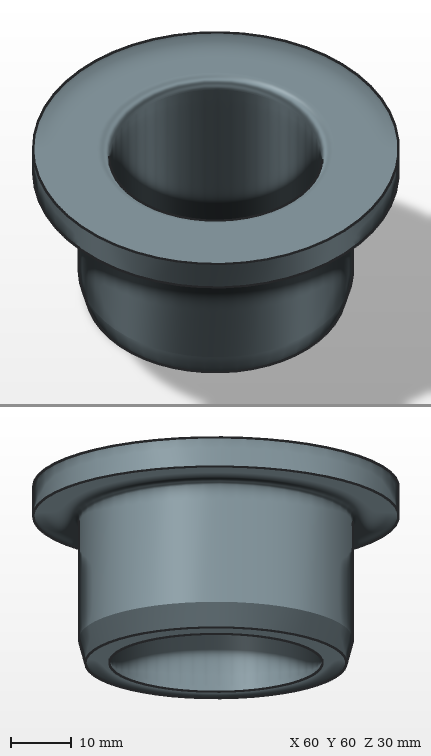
import cadquery as cq
import math

total_height = 30.0
flange_diameter = 60.0
flange_thickness = 5.0
sleeve_diameter = 45.0
bore_diameter = 35.0
lead_in_height = 4.0
lead_in_angle = 15.0
neck_fillet = 1.0
bore_round = 2.0

flange_radius = flange_diameter / 2
sleeve_radius = sleeve_diameter / 2
bore_radius = bore_diameter / 2
tip_radius = sleeve_radius - lead_in_height * math.tan(math.radians(lead_in_angle))
flange_bottom = total_height - flange_thickness

section = (
    cq.Workplane("XZ")
    .moveTo(bore_radius, 0)
    .lineTo(tip_radius, 0)
    .lineTo(sleeve_radius, lead_in_height)
    .lineTo(sleeve_radius, flange_bottom - neck_fillet)
    .radiusArc((sleeve_radius + neck_fillet, flange_bottom), neck_fillet)
    .lineTo(flange_radius, flange_bottom)
    .lineTo(flange_radius, total_height)
    .lineTo(bore_radius + bore_round, total_height)
    .radiusArc((bore_radius, total_height - bore_round), -bore_round)
    .close()
)

result = section.revolve(360, (0, 0, 0), (0, 1, 0))